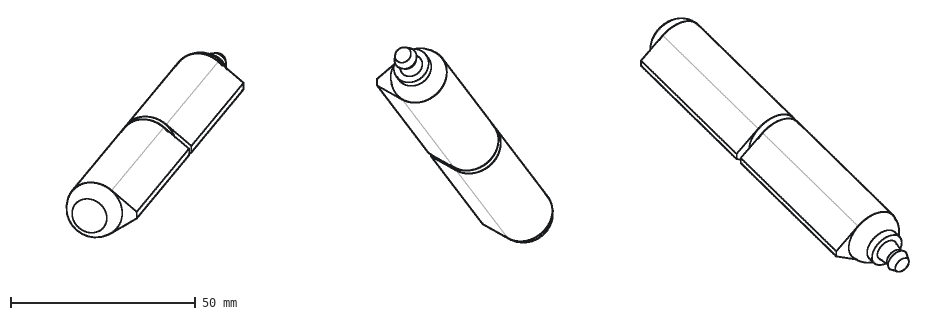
import cadquery as cq
import math

barrel_radius = 8.0
tip_x = 12.0
tip_half_height = 1.0

leaf_length = 44.6
leaf_gap = 2.0
dome_length = 4.5
collar_length = 2.3
total_length = 109.5
front_leaf_start = dome_length
front_leaf_end = front_leaf_start + leaf_length
rear_leaf_start = front_leaf_end + leaf_gap
rear_leaf_end = rear_leaf_start + leaf_length
collar_start = rear_leaf_end + dome_length
collar_end = collar_start + collar_length

core_radius = 7.9
dome_end_diameter = 10.0
dome_end_radius = dome_end_diameter / 2

neck_length = 3.6
head_flare_length = 1.3
neck_base_radius = 3.2
neck_top_radius = 2.6
head_radius = 3.2
head_top_radius = 2.3
neck_end = collar_end + neck_length
head_widest = neck_end + head_flare_length

dome_inset = core_radius - dome_end_radius
dome_arc_radius = (dome_inset**2 + dome_length**2) / (2 * dome_inset)
dome_half_angle = math.asin(dome_length / dome_arc_radius) / 2
dome_mid_radius = core_radius - dome_arc_radius * (1 - math.cos(dome_half_angle))
dome_mid_rise = dome_arc_radius * math.sin(dome_half_angle)


def make_pin():
    """Revolve the domed core, collar and nipple around the Y axis."""
    profile = (
        cq.Workplane("XY")
        .lineTo(dome_end_radius, 0)
        .threePointArc((dome_mid_radius, front_leaf_start - dome_mid_rise), (core_radius, front_leaf_start))
        .lineTo(core_radius, rear_leaf_end)
        .threePointArc((dome_mid_radius, rear_leaf_end + dome_mid_rise), (dome_end_radius, collar_start))
        .lineTo(dome_end_radius, collar_end)
        .lineTo(neck_base_radius, collar_end)
        .lineTo(neck_top_radius, neck_end)
        .lineTo(head_radius, head_widest)
        .lineTo(head_top_radius, total_length)
        .lineTo(0, total_length)
        .close()
    )
    return profile.revolve(360, (0, 0), (0, 1))


def make_leaf(start):
    """Extrude a teardrop whose flanks are tangent to the barrel."""
    tip_distance = math.hypot(tip_x, tip_half_height)
    tangent_angle = math.atan2(tip_half_height, tip_x) + math.acos(barrel_radius / tip_distance)
    tangent_x = barrel_radius * math.cos(tangent_angle)
    tangent_z = barrel_radius * math.sin(tangent_angle)
    return (
        cq.Workplane("XZ", origin=(0, start, 0))
        .moveTo(tip_x, -tip_half_height)
        .lineTo(tip_x, tip_half_height)
        .lineTo(tangent_x, tangent_z)
        .threePointArc((-barrel_radius, 0), (tangent_x, -tangent_z))
        .close()
        .extrude(-leaf_length)
    )


result = make_pin()
for leaf_start in (front_leaf_start, rear_leaf_start):
    result = result.union(make_leaf(leaf_start))

result = result.translate((0, -total_length / 2, 0))